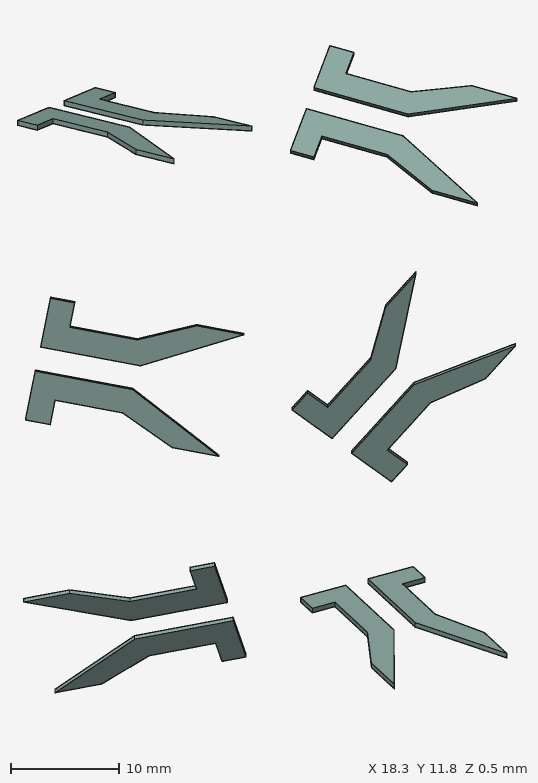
import cadquery as cq

length = 18.27
thickness = 0.5
arm_depth = 4.75
gap = 2.35
bar_width = 2.38

foot_end = 2.34
inner_bend = 8.68
tip_start = 13.81

upper_start = 0.0
upper_bend = 9.17
upper_tip = 18.22
lower_start = 0.05
lower_bend = 9.45
lower_tip = length


def make_arm(start, bend, tip, side):
    """Flat bent arm on one side of the XZ plane; side is +1 for +Y, -1 for -Y."""
    near = side * gap / 2
    bar_edge = side * (gap / 2 + bar_width)
    far = side * (gap / 2 + arm_depth)
    outline = [
        (start, near),
        (bend, near),
        (tip, far),
        (tip_start, far),
        (inner_bend, bar_edge),
        (foot_end, bar_edge),
        (foot_end, far),
        (start, far),
    ]
    return cq.Workplane("XY").polyline(outline).close().extrude(thickness)


upper_arm = make_arm(upper_start, upper_bend, upper_tip, 1)
lower_arm = make_arm(lower_start, lower_bend, lower_tip, -1)

result = cq.Compound.makeCompound([upper_arm.val(), lower_arm.val()])